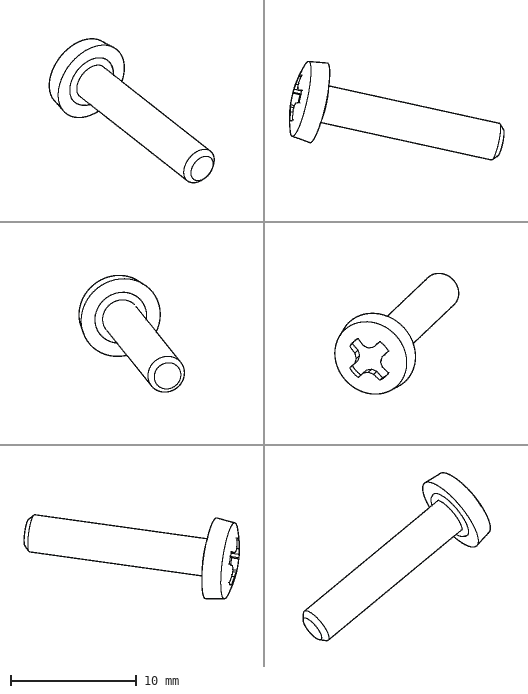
import cadquery as cq
import math

LENGTH = 17.04
SHANK_RADIUS = 1.5
TIP_CHAMFER = 0.41

HEAD_RADIUS = 3.246
HEAD_UNDERSIDE_X = 2.03
DOME_RIM_X = 0.53
DOME_RIM_RADIUS = 3.05

WING_TIP_RADIUS = 1.87
WING_WIDTH = 1.02
WING_STRAIGHT_START = 1.12
RECESS_WAIST_RADIUS = 1.02
RECESS_FLOOR_X = 0.75
WING_ANGLES = (45, 135, 225, 315)
HALF_WING_SPACING = 45
CUT_CLEARANCE = 0.34

RING_SECTION_RADIUS = 0.3
RING_CENTRE_RADIUS = SHANK_RADIUS + RING_SECTION_RADIUS

DOME_CENTRE_X = (
    DOME_RIM_X**2 + DOME_RIM_RADIUS**2 - RECESS_WAIST_RADIUS**2
) / (2 * DOME_RIM_X)
DOME_SPHERE_RADIUS = math.hypot(DOME_CENTRE_X, RECESS_WAIST_RADIUS)
DOME_APEX_X = DOME_CENTRE_X - DOME_SPHERE_RADIUS


def revolve_about_x(profile):
    return profile.revolve(360, (0, 0, 0), (1, 0, 0))


def make_screw_blank():
    """Head and shank in one turned piece, with a half-round ring groove."""
    mid_angle = math.asin(DOME_RIM_RADIUS / DOME_SPHERE_RADIUS) / 2
    dome_midpoint = (
        DOME_CENTRE_X - DOME_SPHERE_RADIUS * math.cos(mid_angle),
        DOME_SPHERE_RADIUS * math.sin(mid_angle),
    )
    groove_outer_radius = RING_CENTRE_RADIUS + RING_SECTION_RADIUS
    groove_bottom = (HEAD_UNDERSIDE_X - RING_SECTION_RADIUS, RING_CENTRE_RADIUS)
    profile = (
        cq.Workplane("XY")
        .moveTo(DOME_APEX_X, 0)
        .threePointArc(dome_midpoint, (DOME_RIM_X, DOME_RIM_RADIUS))
        .lineTo(HEAD_UNDERSIDE_X, HEAD_RADIUS)
        .lineTo(HEAD_UNDERSIDE_X, groove_outer_radius)
        .threePointArc(groove_bottom, (HEAD_UNDERSIDE_X, SHANK_RADIUS))
        .lineTo(LENGTH - TIP_CHAMFER, SHANK_RADIUS)
        .lineTo(LENGTH, SHANK_RADIUS - TIP_CHAMFER)
        .lineTo(LENGTH, 0)
        .close()
    )
    return revolve_about_x(profile)


def turned(point, angle):
    """A point of the YZ plane turned about the X axis, in degrees."""
    cosine = math.cos(math.radians(angle))
    sine = math.sin(math.radians(angle))
    return (point[0] * cosine - point[1] * sine, point[0] * sine + point[1] * cosine)


def make_cross_recess():
    """Cutter for the cross recess; each wing ends in an arc about the axis."""
    start_x = DOME_APEX_X - CUT_CLEARANCE
    half_width = WING_WIDTH / 2
    tip_corner = math.sqrt(WING_TIP_RADIUS**2 - half_width**2)
    ridge = (RECESS_WAIST_RADIUS, 0)

    outline = cq.Workplane("YZ", origin=(start_x, 0, 0)).moveTo(
        *turned(ridge, WING_ANGLES[0] - HALF_WING_SPACING)
    )
    for angle in WING_ANGLES:
        outline = (
            outline.lineTo(*turned((WING_STRAIGHT_START, -half_width), angle))
            .lineTo(*turned((tip_corner, -half_width), angle))
            .threePointArc(
                turned((WING_TIP_RADIUS, 0), angle),
                turned((tip_corner, half_width), angle),
            )
            .lineTo(*turned((WING_STRAIGHT_START, half_width), angle))
        )
        if angle != WING_ANGLES[-1]:
            outline = outline.lineTo(*turned(ridge, angle + HALF_WING_SPACING))
    return outline.close().extrude(RECESS_FLOOR_X - start_x)


def make_screw():
    return make_screw_blank().cut(make_cross_recess())


def make_sealing_ring():
    section = (
        cq.Workplane("XY")
        .center(HEAD_UNDERSIDE_X, RING_CENTRE_RADIUS)
        .circle(RING_SECTION_RADIUS)
    )
    return section.revolve(360, (0, -RING_CENTRE_RADIUS, 0), (1, -RING_CENTRE_RADIUS, 0))


screw = make_screw()
sealing_ring = make_sealing_ring()
result = cq.Compound.makeCompound([screw.val(), sealing_ring.val()])